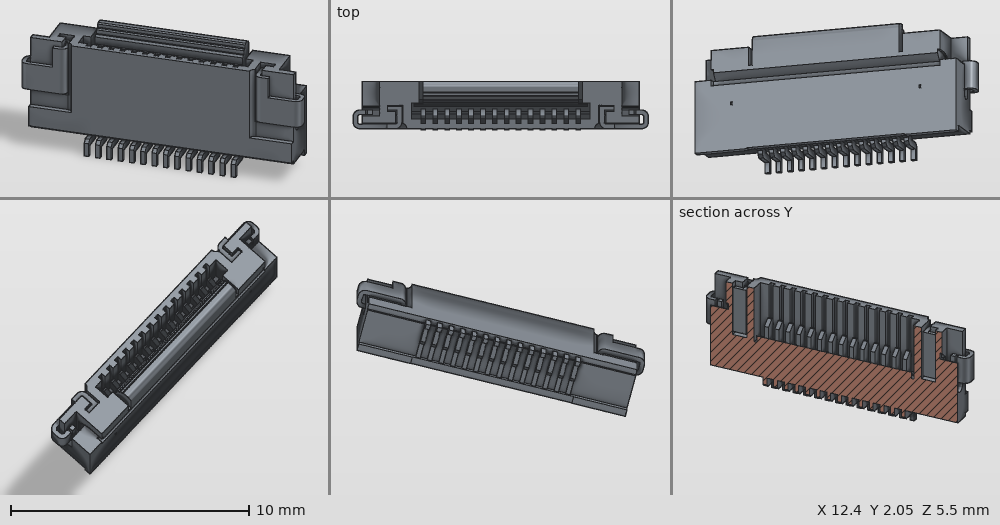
import cadquery as cq
import math


housing_half = 5.82
depth = 2.0
housing_top = 5.01
floor_z = 0.87
step_depth = 0.24
step_z = 1.02
foot_depth = 0.3
foot_z = 0.61
foot_relief_half = 3.5
foot_relief_z = 0.65
back_notch_depth = 0.26
back_notch_bottom = 3.72
back_notch_top = 4.03

recess_inner_x = 3.94
recess_round = 0.21
recess_lip = 0.019
recess_depth = recess_round + 2 * recess_lip
recess_bottom = 1.91

side_cut_x = 5.08
arm_slot_front = 0.55
arm_slot_width = 0.42
arm_slot_bottom = 2.25
undercut_inset = 0.1
undercut_top = 4.18
undercut_arc_start = 1.48
undercut_arc_mid = (1.13, 4.08)
undercut_arc_end = (0.83, 3.85)
undercut_slot_front = 0.67
back_pocket_bottom = 3.47

opening_half = 3.75
opening_front = 0.42
opening_back = 1.09
opening_floor = 2.48
sill_half = 3.65
sill_top_y = 1.04
sill_foot_y = 0.93
sill_height = 0.75
groove_front = 0.62
groove_back = 0.73
groove_depth = 0.12

lock_half = 3.26
lock_top = 5.5
lock_nose_radius = 0.25
grip_upper_y = 1.5
grip_middle_y = 1.34
grip_middle_z = 5.31
grip_lower_y = 1.17
grip_lower_z = 5.08
grip_bevel = 0.056
lower_bevel = 0.09
lock_ledge_z = 4.64
lock_ledge_slope = 0.04
lock_ledge_y = 1.1
lock_gap = 0.16
lock_gap_floor = 4.22
lock_gap_slope_back = 1.24
lock_gap_slope_drop = 0.75

clip_half = 6.2
clip_thickness = 0.2
clip_bend = 0.29
clip_bottom = 2.7
clip_band_top = 3.89
clip_neck_top = 4.79
clip_neck_x = 4.15
clip_neck_outer_x = 4.77
clip_hook_end_x = 4.76
clip_hook_back = 0.94
clip_hook_front = 0.78
clip_tail_back = 0.79
clip_tail_end_x = 5.38
tail_notch_inner_x = 5.59
tail_notch_outer_x = 5.68
tail_notch_bottom = 3.3
clip_clearance = 0.043
clip_slot_bottom = 2.58
clip_slot_outer_x = 4.41
window_width = 0.07
window_height = 0.12

contact_count = 14
row_length = 6.5
pitch = row_length / (contact_count - 1)
contact_width = 0.2
contact_thickness = 0.2
contact_notch_front = 0.22
contact_top = 3.47
contact_tip_slope = 0.25
contact_tip_front = 0.4
contact_back = 0.84
contact_crest_back = 0.53
contact_crest_front = 0.46
tail_front = -0.05
tail_top = 0.75
tail_bottom = 0.45
tail_chamfer = 0.15
tail_bend_front = 0.55
tail_bend_back = 1.03

overshoot = 0.62


def box(x0, x1, y0, y1, z0, z1):
    return cq.Workplane("XY").box(x1 - x0, y1 - y0, z1 - z0, centered=False).translate((x0, y0, z0))


def bar(outline, x0, x1):
    """Extrude a (Y, Z) outline along X from x0 to x1."""
    return cq.Workplane("YZ", origin=(x0, 0, 0)).polyline(outline).close().extrude(x1 - x0)


def both_ends(shape):
    """Add the mirror image on the other side of X = 0."""
    return shape.union(shape.mirror("YZ"))


def housing_block():
    foot_front = depth - foot_depth
    outline = [
        (0, step_z),
        (step_depth, step_z),
        (step_depth, floor_z),
        (foot_front, floor_z),
        (foot_front, foot_z),
        (depth, foot_z),
        (depth, back_notch_bottom),
        (depth - back_notch_depth, back_notch_bottom),
        (depth, back_notch_top),
        (depth, housing_top),
        (0, housing_top),
    ]
    block = bar(outline, -housing_half, housing_half)
    relief = box(-foot_relief_half, foot_relief_half, foot_front, depth, foot_z, foot_relief_z)
    pocket = box(
        -side_cut_x, side_cut_x, depth - back_notch_depth, depth, back_pocket_bottom, back_notch_bottom
    )
    return block.cut(relief).cut(pocket)


def front_recess():
    """Recess at the +X end, with a concave round along its inner wall."""
    inner = recess_inner_x
    round_end = recess_inner_x + recess_round
    corner = recess_round * (1 - math.sqrt(0.5))
    return (
        cq.Workplane("XY", origin=(0, 0, recess_bottom))
        .moveTo(inner, 0)
        .lineTo(inner, recess_lip)
        .threePointArc(
            (inner + corner, recess_lip + recess_round - corner), (round_end, recess_lip + recess_round)
        )
        .lineTo(round_end, recess_depth)
        .lineTo(housing_half, recess_depth)
        .lineTo(housing_half, 0)
        .close()
        .extrude(housing_top + overshoot - recess_bottom)
    )


def side_cut():
    """Open corner, round-bottomed slot and undercut at the +X end."""
    radius = arm_slot_width / 2
    slot_back = arm_slot_front + arm_slot_width
    length = housing_half - side_cut_x
    corner = box(side_cut_x, housing_half, arm_slot_front, depth, back_notch_bottom, housing_top)
    slot = (
        cq.Workplane("YZ", origin=(side_cut_x, 0, 0))
        .moveTo(arm_slot_front, back_notch_bottom)
        .lineTo(arm_slot_front, arm_slot_bottom + radius)
        .threePointArc((arm_slot_front + radius, arm_slot_bottom), (slot_back, arm_slot_bottom + radius))
        .lineTo(slot_back, back_notch_bottom)
        .close()
        .extrude(length)
    )
    relief_x = side_cut_x - undercut_inset
    slot_relief = slot.translate((-undercut_inset, 0, 0)).intersect(
        box(relief_x, side_cut_x, undercut_slot_front, slot_back, arm_slot_bottom, back_notch_bottom)
    )
    undercut = (
        cq.Workplane("YZ", origin=(relief_x, 0, 0))
        .moveTo(depth, back_notch_bottom)
        .lineTo(depth, undercut_top)
        .lineTo(undercut_arc_start, undercut_top)
        .threePointArc(undercut_arc_mid, undercut_arc_end)
        .lineTo(undercut_arc_end[0], back_notch_bottom)
        .close()
        .extrude(undercut_inset)
    )
    return corner.union(slot).union(slot_relief).union(undercut)


def clip_slot():
    """Hook-shaped slot for the +X clip and the narrow window behind it."""
    inner = clip_neck_x - clip_clearance
    slot_back = clip_hook_back + clip_clearance
    slot_top = housing_top + overshoot
    hook_front = clip_hook_front - clip_clearance
    window_top = clip_slot_bottom + window_height
    neck = box(inner, clip_slot_outer_x, recess_depth, slot_back, clip_slot_bottom, slot_top)
    hook = box(inner, clip_hook_end_x, hook_front, slot_back, clip_slot_bottom, slot_top)
    window = box(clip_neck_x, clip_neck_x + window_width, slot_back, depth, clip_slot_bottom, window_top)
    return neck.union(hook).union(window)


def cable_opening():
    opening = box(-opening_half, opening_half, opening_front, opening_back, opening_floor, housing_top)
    groove = box(
        -opening_half, opening_half, groove_front, groove_back, opening_floor - groove_depth, opening_floor
    )
    sill_outline = [
        (opening_back, opening_floor),
        (opening_back, opening_floor + sill_height),
        (sill_top_y, opening_floor + sill_height),
        (sill_foot_y, opening_floor),
    ]
    return opening.union(groove).cut(bar(sill_outline, -sill_half, sill_half))


def lock_space():
    """Space for the lock between the two corner blocks."""
    half = lock_half + lock_gap
    outline = [
        (depth, lock_gap_floor),
        (lock_gap_slope_back, lock_gap_floor),
        (opening_back, lock_gap_floor - lock_gap_slope_drop),
        (opening_back, housing_top),
        (depth, housing_top),
    ]
    return bar(outline, -half, half)


def cable_lock():
    nose = lock_nose_radius
    nose_mid = nose * (1 - math.sqrt(0.5))
    lock_front = [
        (grip_upper_y + grip_bevel, lock_top),
        (grip_upper_y, lock_top - grip_bevel),
        (grip_upper_y, grip_middle_z),
        (grip_middle_y + grip_bevel, grip_middle_z),
        (grip_middle_y, grip_middle_z - grip_bevel),
        (grip_middle_y, grip_lower_z),
        (grip_lower_y + lower_bevel, grip_lower_z),
        (grip_lower_y, grip_lower_z - lower_bevel),
        (grip_lower_y, lock_ledge_z + lock_ledge_slope),
        (lock_ledge_y, lock_ledge_z),
        (sill_top_y, opening_floor + sill_height),
        (sill_top_y, opening_floor),
    ]
    profile = (
        cq.Workplane("YZ", origin=(-lock_half, 0, 0))
        .moveTo(depth, lock_gap_floor)
        .lineTo(depth, lock_top - nose)
        .threePointArc((depth - nose_mid, lock_top - nose_mid), (depth - nose, lock_top))
        .polyline(lock_front, includeCurrent=True)
        .lineTo(lock_ledge_y, opening_floor)
        .lineTo(lock_ledge_y, lock_gap_floor)
        .close()
    )
    return profile.extrude(2 * lock_half)


def spring_clip():
    """Clip at the +X end: a strip bent around the housing side and hooked into its slot."""
    inner_bend = clip_bend - clip_thickness
    outer_wall = clip_half - clip_thickness
    neck_wall = clip_neck_x + clip_thickness

    def plate(x0, x1, y0, y1):
        return box(x0, x1, y0, y1, clip_bottom, clip_neck_top)

    loop = plate(clip_neck_x, clip_half, 0, clip_tail_back).edges("|Z and (>X or <Y)").fillet(clip_bend)
    loop_hole = plate(neck_wall, outer_wall, clip_thickness, clip_tail_back - clip_thickness)
    loop = loop.cut(loop_hole.edges("|Z").fillet(inner_bend))
    loop = loop.cut(plate(clip_neck_x, clip_tail_end_x, clip_tail_back - clip_thickness, clip_tail_back))
    neck = plate(clip_neck_x, neck_wall, clip_bend, clip_hook_back)
    hook = plate(clip_neck_x, clip_hook_end_x, clip_hook_front, clip_hook_back)
    clip = loop.union(neck).union(hook)
    shoulder = box(clip_neck_outer_x, clip_half, 0, clip_tail_back, clip_band_top, clip_neck_top)
    notch = box(
        tail_notch_inner_x,
        tail_notch_outer_x,
        clip_tail_back - clip_thickness,
        clip_tail_back,
        tail_notch_bottom,
        clip_band_top,
    )
    return clip.cut(shoulder).cut(notch)


def contact_notch(x):
    half = contact_width / 2
    return box(x - half, x + half, contact_notch_front, opening_front, opening_floor, housing_top)


def contact(x):
    """Solder tail below the housing and spring tip inside the opening."""
    half = contact_width / 2
    tail = [
        (depth - foot_depth, floor_z),
        (depth - foot_depth, tail_top),
        (tail_bend_back, tail_top),
        (tail_bend_back, tail_bottom + tail_chamfer),
        (tail_bend_back - tail_chamfer, tail_bottom),
        (tail_front + contact_thickness, tail_bottom),
        (tail_front + contact_thickness, 0),
        (tail_front, 0),
        (tail_front, tail_top - tail_chamfer),
        (tail_front + tail_chamfer, tail_top),
        (tail_bend_front, tail_top),
        (tail_bend_front, floor_z),
    ]
    tip = [
        (contact_back, opening_floor - groove_depth),
        (contact_back, contact_top - contact_tip_slope),
        (contact_crest_back, contact_top),
        (contact_crest_front, contact_top),
        (contact_tip_front, contact_top - contact_tip_slope),
        (contact_notch_front, opening_floor),
        (contact_notch_front, opening_floor - groove_depth),
    ]
    return bar(tail, x - half, x + half).union(bar(tip, x - half, x + half))


contact_places = [(i - (contact_count - 1) / 2) * pitch for i in range(contact_count)]

result = housing_block().cut(both_ends(front_recess()))
result = result.cut(both_ends(side_cut())).cut(both_ends(clip_slot()))
result = result.cut(cable_opening()).cut(lock_space())
for place in contact_places:
    result = result.cut(contact_notch(place))
result = result.union(cable_lock()).union(both_ends(spring_clip()))
for place in contact_places:
    result = result.union(contact(place))